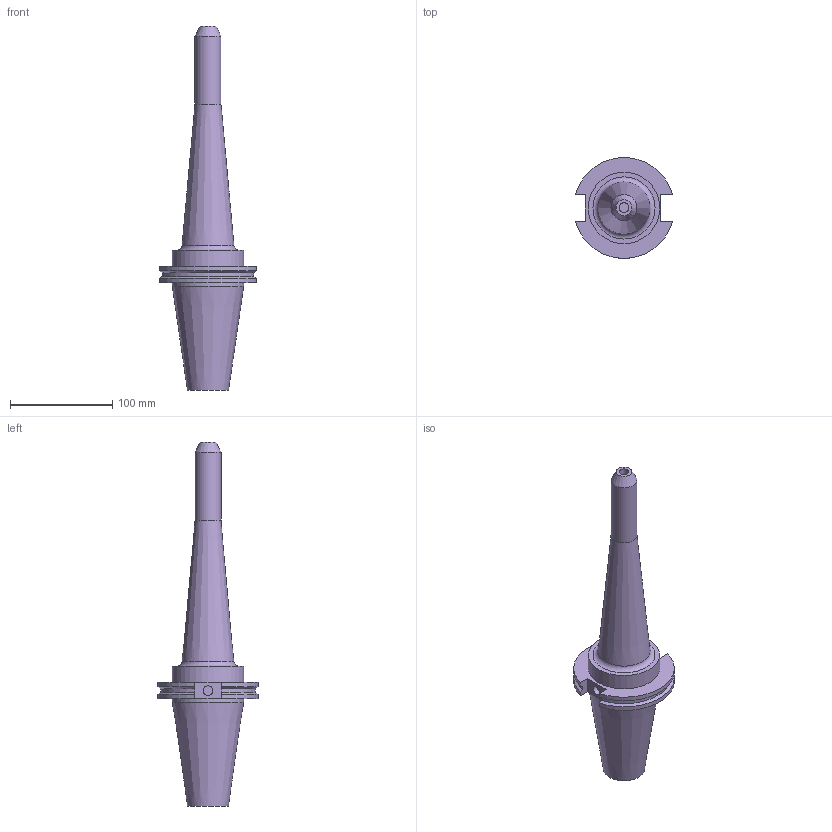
import cadquery as cq
import math

total_height = 355.6
taper_length = 101.6
gauge_land = 3.175
flange_thickness = 15.875
hub_height = 15.875
nose_height = 10.0
shank_length = 76.2

flange_bottom = taper_length + gauge_land
flange_top = flange_bottom + flange_thickness
flange_middle = (flange_bottom + flange_top) / 2
hub_top = flange_top + hub_height
cone_top = total_height - shank_length

gauge_radius = 69.85 / 2
taper_ratio = 7 / 24
taper_end_radius = gauge_radius - taper_length * taper_ratio / 2

flange_radius = 98.425 / 2
groove_width = 7.1
groove_depth = 2.9
groove_half_angle = math.radians(30)
slot_width = 25.92
left_slot_floor = 37.7
right_slot_floor = 35.3
dimple_diameter = 9.525
dimple_depth = 5.0

cone_base_radius = 25.8
shank_radius = 12.7
nose_tip_radius = 7.8
neck_fillet = 5.0
corner_margin = 1.0
bore_diameter = 9.525
bore_depth = 50.8


def make_body():
    """Revolve the whole (radius, height) outline around Z."""
    groove_floor_radius = flange_radius - groove_depth
    half_mouth = groove_width / 2
    half_floor = half_mouth - groove_depth * math.tan(groove_half_angle)
    outline = [
        (0, 0),
        (taper_end_radius, 0),
        (gauge_radius, taper_length),
        (gauge_radius, flange_bottom),
        (flange_radius, flange_bottom),
        (flange_radius, flange_middle - half_mouth),
        (groove_floor_radius, flange_middle - half_floor),
        (groove_floor_radius, flange_middle + half_floor),
        (flange_radius, flange_middle + half_mouth),
        (flange_radius, flange_top),
        (gauge_radius, flange_top),
        (gauge_radius, hub_top),
        (cone_base_radius, hub_top),
        (shank_radius, cone_top),
        (shank_radius, total_height - nose_height),
        (nose_tip_radius, total_height),
        (0, total_height),
    ]
    profile = cq.Workplane("XZ").polyline(outline).close()
    return profile.revolve(360, (0, 0, 0), (0, 1, 0))


def fillet_neck(body):
    """Round the inside corner where the cone meets the hub."""
    reach = (cone_base_radius + gauge_radius) / 2
    low_corner = (-reach, -reach, hub_top - corner_margin)
    high_corner = (reach, reach, hub_top + corner_margin)
    corner = cq.selectors.BoxSelector(low_corner, high_corner, boundingbox=True)
    return body.edges(corner).fillet(neck_fillet)


def make_drive_slot(side, floor):
    """Cutter for a slot on the -X (side = -1) or +X (side = 1) edge of the flange."""
    depth = flange_radius - floor
    return (
        cq.Workplane("XY", origin=(side * (floor + depth / 2), 0, flange_bottom))
        .box(depth, slot_width, flange_thickness, centered=(True, True, False))
    )


def make_dimple():
    """Cutter for the blind hole in the floor of the -X slot."""
    return (
        cq.Workplane("YZ", origin=(-left_slot_floor, 0, flange_middle))
        .circle(dimple_diameter / 2)
        .extrude(dimple_depth)
    )


def make_bore():
    """Cutter for the blind tool bore in the nose."""
    return (
        cq.Workplane("XY", origin=(0, 0, total_height - bore_depth))
        .circle(bore_diameter / 2)
        .extrude(bore_depth)
    )


result = fillet_neck(make_body())
result = result.cut(make_drive_slot(-1, left_slot_floor))
result = result.cut(make_drive_slot(1, right_slot_floor))
result = result.cut(make_dimple())
result = result.cut(make_bore())